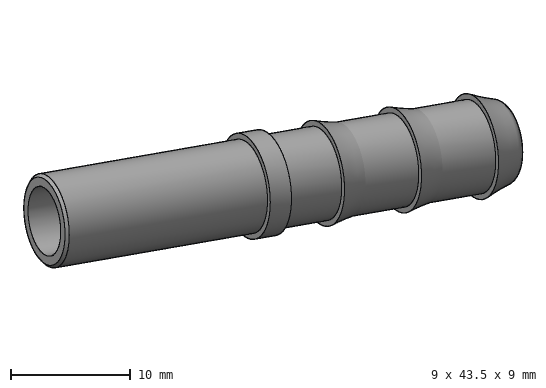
import cadquery as cq

total_length = 43.5
tube_radius = 4.0
rim_radius = 4.502
stem_bore_radius = 2.95
tip_bore_radius = 2.75

tip_barb_length = 3.0
barb_length = 2.25
barb_count = 2
neck_length = 5.0
collar_length = 2.0
barb_hollow = 0.05

nose_face_radius = 3.15
nose_radius = 3.7
nose_length = 0.7
nose_bulge = 0.15
stem_chamfer = 0.25

tip_y = total_length / 2
stem_y = -total_length / 2


def add_arc(profile, start, end, radial_offset):
    """Continue the profile with an arc whose middle is shifted radially."""
    middle = ((start[0] + end[0]) / 2 + radial_offset, (start[1] + end[1]) / 2)
    return profile.threePointArc(middle, end)


def add_neck(profile, y):
    """Drop to the tube surface at y and run along it to the next feature."""
    return profile.lineTo(tube_radius, y).lineTo(tube_radius, y - neck_length)


nose_face = (nose_face_radius, tip_y)
nose_end = (nose_radius, tip_y - nose_length)
tip_barb_end = (rim_radius, tip_y - tip_barb_length)

profile = cq.Workplane("XY").moveTo(tip_bore_radius, tip_y).lineTo(*nose_face)
profile = add_arc(profile, nose_face, nose_end, nose_bulge)
profile = add_arc(profile, nose_end, tip_barb_end, -barb_hollow)
profile = add_neck(profile, tip_barb_end[1])
y = tip_barb_end[1] - neck_length

for _ in range(barb_count):
    barb_start = (tube_radius, y)
    barb_end = (rim_radius, y - barb_length)
    profile = add_arc(profile, barb_start, barb_end, -barb_hollow)
    profile = add_neck(profile, barb_end[1])
    y = barb_end[1] - neck_length

profile = (
    profile.lineTo(rim_radius, y)
    .lineTo(rim_radius, y - collar_length)
    .lineTo(tube_radius, y - collar_length)
    .lineTo(tube_radius, stem_y + stem_chamfer)
    .lineTo(tube_radius - stem_chamfer, stem_y)
    .lineTo(stem_bore_radius, stem_y)
    .close()
)

result = profile.revolve(360, (0, 0, 0), (0, 1, 0))